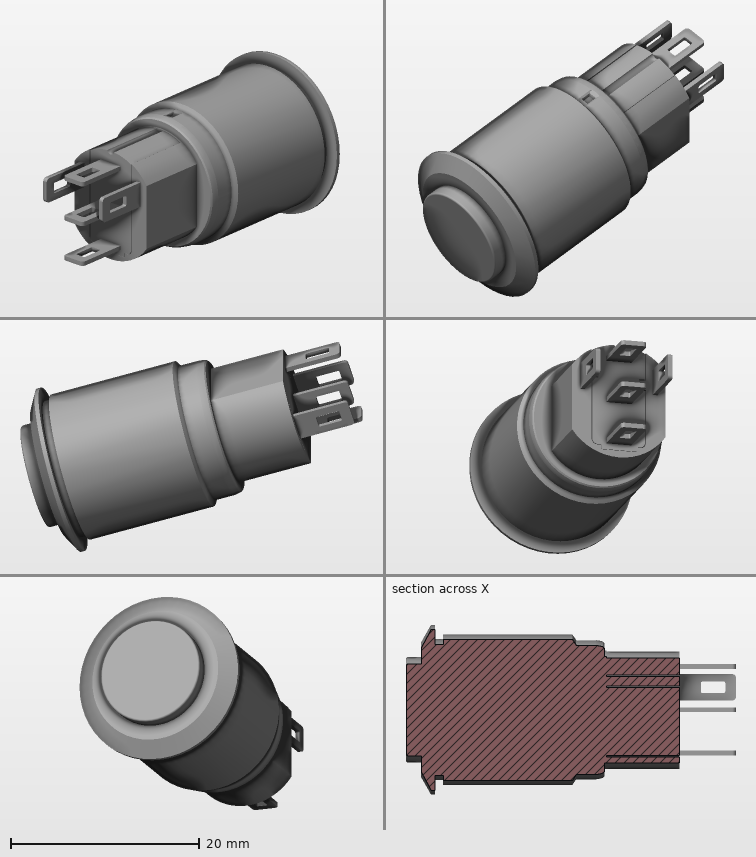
import cadquery as cq


button_radius = 11.2 / 2
button_edge_round = 0.2
button_front = 3.1
flange_radius = 18 / 2
flange_front_radius = 7.15
flange_front = 1.5
flange_rim = 0.45

neck_radius = 15 / 2
neck_end = -0.85
body_radius = 16 / 2
body_end = -15.0
body_chamfer = 0.4

collar_radius = 14.8 / 2
collar_end = -18.0
collar_round_start = -17.1
collar_round_radius = collar_radius - 0.05
collar_tip_radius = 7.25
collar_end_chamfer = 0.15

latch_width = 1.44
latch_length = 2.2
latch_corner = 0.3
latch_lip_depth = 0.15
latch_well_width = 0.94
latch_well_length = 1.2
latch_floor_width = 0.7
latch_floor_length = 0.9
latch_depth = 0.45

block_radius = 12.6 / 2
block_width = 10.3
block_end = -26.0

lip_length = 0.2
cavity_half_width = 3.0
cavity_bottom = -5.05
cavity_corner = 0.6
side_gap = 0.1
fine_gap = 0.04
insert_top_radius = block_radius - 0.1
tongue_width = 3.96
tongue_bottom = -5.55
key_depth = 0.72
key_height = 1.05
left_key_z = 3.04
right_key_z = 1.97
insert_groove_radius = 0.5

terminal_length = 6.0
terminal_width = 2.8
terminal_thickness = 0.5
terminal_corner = 0.4
slot_width = 1.2
slot_length = 2.6
slot_corner = 0.15
slot_center = 3.55
contact_spacing = 4.6
lamp_terminal_x = 4.0
lamp_terminal_z = 2.38


def make_barrel():
    """Button, flange, body and collar as one revolved profile."""
    tip_start = collar_end + collar_end_chamfer
    round_middle = (collar_round_start + tip_start) / 2
    profile = (
        cq.Workplane("XY")
        .moveTo(0, button_front)
        .lineTo(button_radius - button_edge_round, button_front)
        .radiusArc((button_radius, button_front - button_edge_round), button_edge_round)
        .lineTo(button_radius, flange_front)
        .lineTo(flange_front_radius, flange_front)
        .lineTo(flange_radius, flange_rim)
        .lineTo(flange_radius, 0)
        .lineTo(neck_radius, 0)
        .lineTo(neck_radius, neck_end)
        .lineTo(body_radius, neck_end)
        .lineTo(body_radius, body_end + body_chamfer)
        .lineTo(collar_radius, body_end)
        .lineTo(collar_radius, collar_round_start)
        .threePointArc((collar_round_radius, round_middle), (collar_tip_radius, tip_start))
        .lineTo(collar_tip_radius - collar_end_chamfer, collar_end)
        .lineTo(0, collar_end)
        .close()
    )
    return profile.revolve(360, (0, 0, 0), (0, 1, 0))


def along_y(start, end, sketch):
    """Extrude an XZ outline, drawn by sketch(workplane), from Y = start back to Y = end."""
    plane = cq.Workplane("XZ", origin=(0, start, 0))
    return sketch(plane).extrude(start - end)


def box_xz(x_min, x_max, z_min, z_max, start, end):
    """Box between the given X and Z limits, from Y = start back to Y = end."""
    center = ((x_min + x_max) / 2, (z_min + z_max) / 2)
    return along_y(start, end, lambda plane: plane.center(*center).rect(x_max - x_min, z_max - z_min))


def make_latch_pocket():
    """Pocket next to the shoulder of the body: a shallow sloped lip around a steeper well."""
    center_y = body_end - latch_length / 2
    top = cq.Workplane("XY", origin=(0, center_y, collar_radius))
    lip = (
        top.rect(latch_width, latch_length)
        .workplane(offset=-latch_lip_depth)
        .rect(latch_well_width, latch_well_length)
        .loft(ruled=True)
    )
    well = (
        top.workplane(offset=-latch_lip_depth)
        .rect(latch_well_width, latch_well_length)
        .workplane(offset=latch_lip_depth - latch_depth)
        .rect(latch_floor_width, latch_floor_length)
        .loft(ruled=True)
    )
    outline = top.rect(latch_width, latch_length).extrude(-latch_depth).edges("|Z").chamfer(latch_corner)
    return lip.union(well).intersect(outline)


def make_block():
    """Round bar with a flat on each side."""
    bar = along_y(collar_end, block_end, lambda plane: plane.circle(block_radius))
    flats = box_xz(
        -block_width / 2, block_width / 2, -block_radius, block_radius, collar_end, block_end
    )
    return bar.intersect(flats)


def insert_shape(side_offset, fine_offset, start):
    """Keyed insert, shrunk by the two offsets; zero offsets give the cavity it sits in."""
    half_width = cavity_half_width - side_offset
    half_tongue = tongue_width / 2 - fine_offset
    bottom = cavity_bottom + fine_offset
    half_key = key_height / 2 + side_offset
    key_edge = cavity_half_width - key_depth - fine_offset

    shape = box_xz(-half_width, half_width, bottom, block_radius, start, block_end)
    shape = shape.edges("|Y and <Z").fillet(cavity_corner - fine_offset)
    tongue = box_xz(
        -half_tongue, half_tongue, tongue_bottom + fine_offset, 0, start, block_end
    )
    left_key = box_xz(
        -cavity_half_width, -key_edge, left_key_z - half_key, left_key_z + half_key, start, block_end
    )
    right_key = box_xz(
        key_edge, cavity_half_width, right_key_z - half_key, right_key_z + half_key, start, block_end
    )
    return shape.union(tongue).cut(left_key).cut(right_key)


def make_insert_gap():
    """Gap around the insert, together with the groove along the insert's top."""
    start = collar_end - lip_length
    round_bar = along_y(start, block_end, lambda plane: plane.circle(insert_top_radius))
    groove = along_y(
        start, block_end, lambda plane: plane.center(0, block_radius).circle(insert_groove_radius)
    )
    insert = insert_shape(side_gap, fine_gap, start).intersect(round_bar).cut(groove)
    return insert_shape(0, 0, start).union(groove).cut(insert)


def make_terminal():
    """Flat terminal lying in XY, its root on the end of the block."""
    blade = (
        cq.Workplane("XY", origin=(0, block_end - terminal_length / 2, 0))
        .box(terminal_width, terminal_length, terminal_thickness)
        .edges("|Z and <Y")
        .fillet(terminal_corner)
    )
    slot = (
        cq.Workplane("XY", origin=(0, block_end - slot_center, 0))
        .box(slot_width, slot_length, terminal_thickness)
        .edges("|Z")
        .fillet(slot_corner)
    )
    return blade.cut(slot)


def add_terminals(part):
    """Three stacked contact terminals and an upright lamp terminal on each side."""
    flat = make_terminal()
    for z in (-contact_spacing, 0, contact_spacing):
        part = part.union(flat.translate((0, 0, z)))
    upright = flat.rotate((0, 0, 0), (0, 1, 0), 90)
    for x in (-lamp_terminal_x, lamp_terminal_x):
        part = part.union(upright.translate((x, 0, lamp_terminal_z)))
    return part


barrel = make_barrel().cut(make_latch_pocket())
rear_block = make_block().cut(make_insert_gap())
result = add_terminals(barrel.union(rear_block))